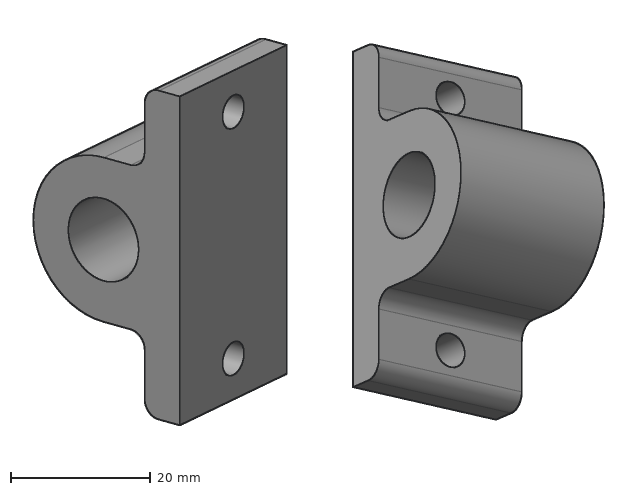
import cadquery as cq

width = 25.4
base_height = 50.8
base_thickness = 6.35
barrel_radius = 12.7
bore_diameter = 12.7
axis_to_back = 13.77
edge_radius = 2.54
screw_hole_diameter = 5.08
screw_hole_spacing = 38.1

back_x = axis_to_back
base_front_x = back_x - base_thickness


def make_base():
    """Mounting plate standing in the YZ plane."""
    return (
        cq.Workplane("XY")
        .box(base_thickness, width, base_height)
        .translate((back_x - base_thickness / 2, 0, 0))
    )


def make_barrel():
    """Round barrel with a block of the same height joining it to the plate."""
    cylinder = cq.Workplane("XZ").circle(barrel_radius).extrude(width / 2, both=True)
    neck = (
        cq.Workplane("XY")
        .box(axis_to_back, width, 2 * barrel_radius)
        .translate((axis_to_back / 2, 0, 0))
    )
    return cylinder.union(neck)


def round_edges(body):
    """Fillet the barrel roots and the front top and bottom edges of the plate."""
    for side in (-1, 1):
        for edge_z in (side * barrel_radius, side * base_height / 2):
            edge = cq.selectors.NearestToPointSelector((base_front_x, 0, edge_z))
            body = body.edges("|Y").edges(edge).fillet(edge_radius)
    return body


def cut_bore(body):
    """Through bore along Y."""
    bore = cq.Workplane("XZ").circle(bore_diameter / 2).extrude(width / 2, both=True)
    return body.cut(bore)


def cut_screw_holes(body):
    """Two through holes in the plate, one on each side of the barrel."""
    holes = (
        cq.Workplane("YZ")
        .workplane(offset=base_front_x)
        .pushPoints([(0, side * screw_hole_spacing / 2) for side in (-1, 1)])
        .circle(screw_hole_diameter / 2)
        .extrude(base_thickness)
    )
    return body.cut(holes)


bracket = round_edges(make_base().union(make_barrel()))
result = cut_screw_holes(cut_bore(bracket))